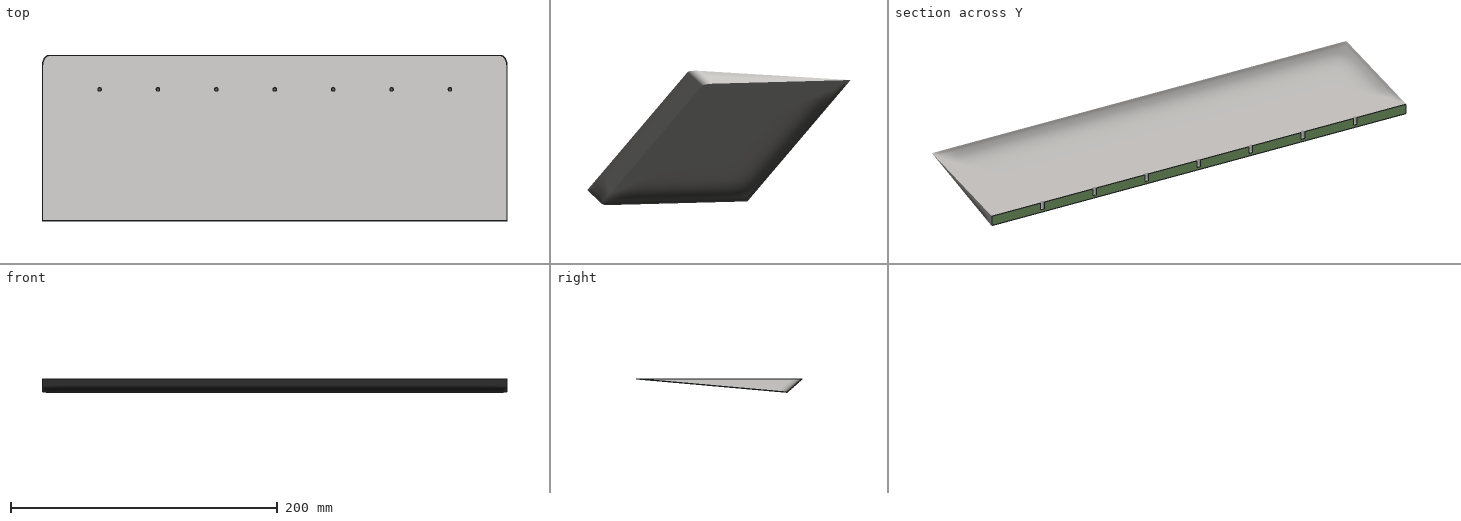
import cadquery as cq

LENGTH = 348.0
WIDTH = 124.0
THICKNESS = 10.0

BACK_UNDERCUT = 11.2
CORNER_RADIUS = 5.0

HOLE_DIAMETER = 2.65
HOLE_COUNT = 7
HOLE_SPACING = 43.75
HOLE_SETBACK = 25.5
HOLE_DEPTH = 6.0

BACK_Y = WIDTH / 2
FRONT_Y = -WIDTH / 2


def wedge_body():
    """Triangular section in the YZ plane, swept along the length."""
    section = [
        (FRONT_Y, 0),
        (BACK_Y, 0),
        (BACK_Y - BACK_UNDERCUT, -THICKNESS),
    ]
    return cq.Workplane("YZ").polyline(section).close().extrude(LENGTH / 2, both=True)


def round_back_corners(body):
    """Round the slanted edges where the back face meets the two ends."""
    back_face = body.faces(">(0, 1, -1)")
    return back_face.edges("not #Y").edges("not |X").fillet(CORNER_RADIUS)


def hole_row():
    """Row of blind holes sunk from the top face, centred on the length."""
    return (
        cq.Workplane("XY")
        .center(0, BACK_Y - HOLE_SETBACK)
        .rarray(HOLE_SPACING, 1, HOLE_COUNT, 1)
        .circle(HOLE_DIAMETER / 2)
        .extrude(-HOLE_DEPTH)
    )


result = round_back_corners(wedge_body()).cut(hole_row())